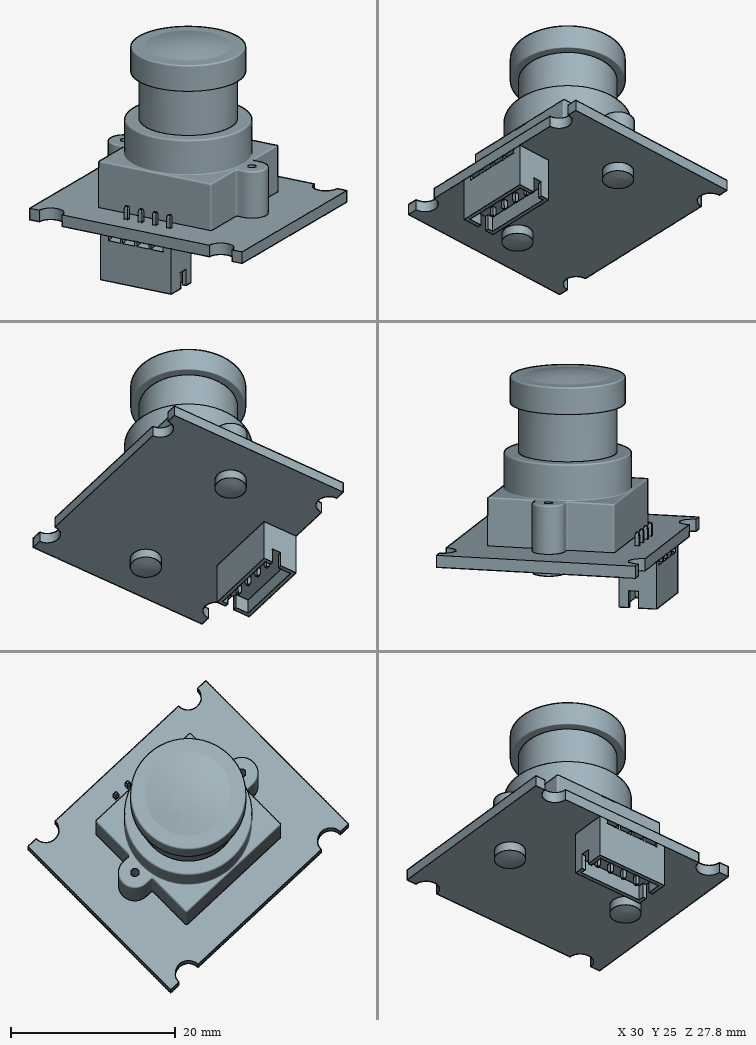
import cadquery as cq

board_length = 30.0
board_width = 25.0
board_thickness = 1.5
notch_diameter = 3.2
notch_spacing = 24.0

holder_side = 16.0
holder_height = 6.0
holder_edge_radius = 0.2
ear_diameter = 4.0
ear_spacing = 18.0
ear_hole_diameter = 1.0
collar_diameter = 15.5
collar_height = 4.5
collar_edge_radius = 0.2
collar_foot_radius = 0.1
peg_diameter = 2.0
peg_head_diameter = 3.8
peg_head_height = 1.25
peg_head_crown = 0.3

barrel_diameter = 12.0
barrel_height = 6.05
cap_diameter = 14.0
cap_height = 3.35
cap_top_radius = 0.2
cap_bottom_radius = 0.1
dome_diameter = 10.5
dome_height = 0.56

connector_length = 10.0
connector_width = 4.75
connector_height = 5.87
side_slot_width = 1.2
side_slot_y = -9.6
socket_depth = 2.1
socket_wall = 0.5
relief_length = 1.7
relief_height = 0.6
relief_depth = 2.6
pin_count = 4
pin_pitch = 2.0
pin_side = 0.5
pin_y = -9.55
pin_rise = 1.6
pin_bottom = -5.0
pin_tip_inset = 0.1
pin_tip_height = 0.35

holder_top = board_thickness + holder_height
collar_top = holder_top + collar_height
connector_y = -(board_width - connector_width) / 2

ear_points = [(-ear_spacing / 2, 0), (ear_spacing / 2, 0)]
pin_points = [((i - (pin_count - 1) / 2) * pin_pitch, pin_y) for i in range(pin_count)]


def cylinder(diameter, bottom, height, points=((0, 0),)):
    """Upright cylinders standing on the level `bottom`."""
    return cq.Workplane("XY", origin=(0, 0, bottom)).pushPoints(points).circle(diameter / 2).extrude(height)


def domed_cap(diameter, height):
    """Shallow spherical cap with its flat side on Z = 0 and its crown at `height`."""
    rim = diameter / 2
    sphere_radius = (rim**2 + height**2) / (2 * height)
    ball = cq.Workplane("XY", origin=(0, 0, height - sphere_radius)).sphere(sphere_radius)
    return ball.intersect(cylinder(diameter, 0, height))


def make_pins():
    """Square pins with tapered tips, running from the connector socket up through the board."""
    top = board_thickness + pin_rise
    pins = (
        cq.Workplane("XY", origin=(0, 0, pin_bottom))
        .pushPoints(pin_points)
        .rect(pin_side, pin_side)
        .extrude(top - pin_bottom)
    )
    return pins.faces("<Z or >Z").chamfer(pin_tip_height, pin_tip_inset)


def make_board():
    """Rectangular board with edge notches and clearance for the pegs and pins."""
    board = cq.Workplane("XY").rect(board_length, board_width).extrude(board_thickness)
    notches = cq.Workplane("XY").rect(notch_spacing, board_width, forConstruction=True).vertices()
    board = board.cut(notches.circle(notch_diameter / 2).extrude(board_thickness))
    board = board.cut(cylinder(peg_diameter, 0, board_thickness, ear_points))
    pin_holes = cq.Workplane("XY").pushPoints(pin_points).rect(pin_side, pin_side).extrude(board_thickness)
    return board.cut(pin_holes)


def make_holder():
    """Square block with two ears, a round collar on top and headed pegs through the board."""
    base = cq.Workplane("XY", origin=(0, 0, board_thickness))
    block = base.rect(holder_side, holder_side).extrude(holder_height)
    ears = base.slot2D(ear_spacing + ear_diameter, ear_diameter).extrude(holder_height)
    block = block.union(ears)

    corner_x = holder_side / 2
    corner_z = board_thickness + holder_height / 2
    for corner_y in (ear_diameter / 2, holder_side / 2):
        for x in (-corner_x, corner_x):
            for y in (-corner_y, corner_y):
                corner = cq.selectors.NearestToPointSelector((x, y, corner_z))
                block = block.edges(corner).fillet(holder_edge_radius)
    block = block.faces(">Z").edges().fillet(holder_edge_radius)
    block = block.cut(cylinder(ear_hole_diameter, board_thickness, holder_height, ear_points))

    block = block.union(cylinder(collar_diameter, holder_top, collar_height))
    block = block.faces(">Z").edges().fillet(collar_edge_radius)
    largest_circles = block.edges("%CIRCLE").edges(cq.selectors.RadiusNthSelector(-1))
    block = largest_circles.edges("<Z").fillet(collar_foot_radius)

    pegs = cylinder(peg_diameter, 0, board_thickness, ear_points)
    heads = cylinder(peg_head_diameter, -peg_head_height, peg_head_height, ear_points)
    block = block.union(pegs).union(heads)
    for x, y in ear_points:
        crown = domed_cap(peg_head_diameter, peg_head_crown).rotate((0, 0, 0), (1, 0, 0), 180)
        block = block.union(crown.translate((x, y, -peg_head_height)))
    return block


def make_lens():
    """Barrel standing on the collar, with a wider cap and a shallow domed glass."""
    barrel = cylinder(barrel_diameter, collar_top, barrel_height)
    cap_bottom = collar_top + barrel_height
    cap_top = cap_bottom + cap_height
    cap = cylinder(cap_diameter, cap_bottom, cap_height)
    cap = cap.faces(">Z").edges().fillet(cap_top_radius)
    cap = cap.faces("<Z").edges().fillet(cap_bottom_radius)

    dome = domed_cap(dome_diameter, dome_height).translate((0, 0, cap_top))
    return barrel.union(cap).union(dome)


def make_connector():
    """Connector body with a socket open downwards, slotted end walls, sloped front reliefs and pins."""
    body = cq.Workplane("XY", origin=(0, connector_y, -connector_height)).box(
        connector_length, connector_width, connector_height, centered=(True, True, False)
    )
    slot = cq.Workplane("XY", origin=(0, side_slot_y, -connector_height)).box(
        connector_length, side_slot_width, socket_depth, centered=(True, True, False)
    )
    socket = cq.Workplane("XY", origin=(0, connector_y, -connector_height)).box(
        connector_length - 2 * socket_wall,
        connector_width - 2 * socket_wall,
        socket_depth,
        centered=(True, True, False),
    )
    body = body.cut(socket).cut(slot)
    front = -board_width / 2
    relief_profile = [(front, 0), (front, -relief_height), (front + relief_depth, 0)]
    for x, _ in pin_points:
        relief = cq.Workplane("YZ", origin=(x, 0, 0)).polyline(relief_profile).close()
        body = body.cut(relief.extrude(relief_length / 2, both=True))
    return body.union(make_pins())


board = make_board()
holder = make_holder()
lens = make_lens()
connector = make_connector()

result = cq.Compound.makeCompound([board.val(), holder.val(), lens.val(), connector.val()])